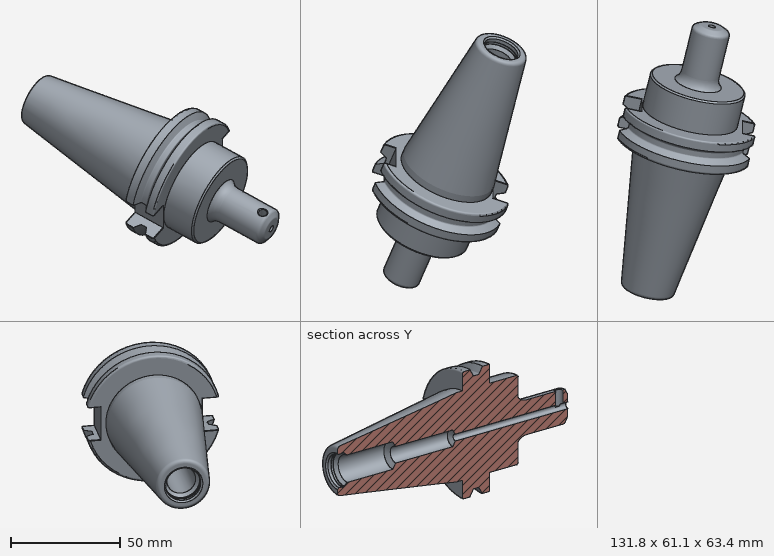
import cadquery as cq
import math

OVERALL_LENGTH = 131.8
TAPER_END_X = 68.0
FLANGE_START_X = 71.3
FLANGE_WIDTH = 16.0
BODY_END_X = 103.4

TOLERANCE = 0.01

TAPER_SMALL_DIAMETER = 24.5
BODY_DIAMETER = 44.5
TAPER_END_ROUND = 1.8
BODY_CHAMFER = 0.8

FLANGE_DIAMETER = 63.4
FLANGE_FRONT_EDGE = 1.0
FLANGE_REAR_EDGE = 0.8
GROOVE_CENTER_X = 79.3
GROOVE_FLOOR_WIDTH = 2.9
GROOVE_DEPTH = 3.5
GROOVE_HALF_ANGLE = 30.0
GROOVE_CORNER_RADIUS = 0.5
SLOT_WIDTH = 16.5
SLOT_EDGE_CHAMFER = 0.3
DEEP_SLOT_FLOOR_Y = -22.7
SHALLOW_SLOT_FLOOR_Y = 24.6

NOSE_DIAMETER = 17.5
NOSE_ROOT_RADIUS = 6.0
NOSE_ROOT_LENGTH = 4.6
NOSE_TIP_LENGTH = 1.8
NOSE_TIP_DIAMETER = 11.1
NOSE_TIP_ROUND = 1.6
CROSS_HOLE_DIAMETER = 4.0
CROSS_HOLE_X = 126.9
CROSS_HOLE_MOUTH_DIAMETER = 5.0

MOUTH_DIAMETER = 17.9
COUNTERBORE_DIAMETER = 16.3
UNDERCUT_DIAMETER = 16.9
UNDERCUT_START_X = 2.6
UNDERCUT_END_X = 3.8
THREAD_DIAMETER = 13.5
THREAD_START_X = 5.5
THREAD_DEPTH = 31.6
PILOT_DIAMETER = 8.0
PILOT_DEPTH = 65.9
COOLANT_DIAMETER = 3.2
DRILL_HALF_ANGLE = 59.0


def revolve_about_axis(profile):
    return profile.close().revolve(360, (0, 0, 0), (1, 0, 0))


def shank():
    """Taper, cylindrical body and nose pin as one revolved solid."""
    body_radius = BODY_DIAMETER / 2
    nose_radius = NOSE_DIAMETER / 2
    root_end_x = BODY_END_X + NOSE_ROOT_LENGTH
    root_center_r = nose_radius + NOSE_ROOT_RADIUS
    root_start_r = root_center_r - math.sqrt(NOSE_ROOT_RADIUS**2 - NOSE_ROOT_LENGTH**2)
    tip_start_x = OVERALL_LENGTH - NOSE_TIP_LENGTH
    profile = (
        cq.Workplane("XY")
        .lineTo(0, TAPER_SMALL_DIAMETER / 2)
        .lineTo(TAPER_END_X, body_radius)
        .lineTo(BODY_END_X - BODY_CHAMFER, body_radius)
        .lineTo(BODY_END_X, body_radius - BODY_CHAMFER)
        .lineTo(BODY_END_X, root_start_r)
        .radiusArc((root_end_x, nose_radius), -NOSE_ROOT_RADIUS)
        .lineTo(tip_start_x, nose_radius)
        .lineTo(OVERALL_LENGTH, NOSE_TIP_DIAMETER / 2)
        .lineTo(OVERALL_LENGTH, 0)
    )
    solid = revolve_about_axis(profile)
    solid = solid.faces("<X").edges().fillet(TAPER_END_ROUND)
    tip_edges = cq.selectors.BoxSelector(
        (tip_start_x - TOLERANCE, -BODY_DIAMETER, -BODY_DIAMETER),
        (OVERALL_LENGTH + TOLERANCE, BODY_DIAMETER, BODY_DIAMETER),
    )
    return solid.edges("%CIRCLE").edges(tip_edges).fillet(NOSE_TIP_ROUND)


def drive_slot(floor_y):
    """Block that cuts one drive slot from its floor outward past the flange rim."""
    outer_y = math.copysign(FLANGE_DIAMETER, floor_y)
    block = cq.Workplane("XY").box(FLANGE_WIDTH, abs(outer_y - floor_y), SLOT_WIDTH)
    middle_x = FLANGE_START_X + FLANGE_WIDTH / 2
    return block.translate((middle_x, (outer_y + floor_y) / 2, 0))


def chamfer_slot_edges(solid, floor_y):
    """Break the wall edges of one slot, except where the walls meet its floor."""
    near_y, far_y = sorted((floor_y, math.copysign(FLANGE_DIAMETER, floor_y)))
    half_slot = SLOT_WIDTH / 2
    walls = cq.selectors.BoxSelector(
        (0, near_y, -half_slot - TOLERANCE),
        (OVERALL_LENGTH, far_y, half_slot + TOLERANCE),
    )
    floor_edges = cq.selectors.BoxSelector(
        (0, floor_y - TOLERANCE, -SLOT_WIDTH),
        (OVERALL_LENGTH, floor_y + TOLERANCE, SLOT_WIDTH),
    )
    edges = solid.faces("|Z").faces(walls).edges()
    kept_sharp = edges.edges(floor_edges).vals()
    broken = [edge for edge in edges.vals() if edge not in kept_sharp]
    return solid.newObject(broken).chamfer(SLOT_EDGE_CHAMFER)


def gripper_groove():
    """V-shaped ring with a flat floor and rounded floor corners."""
    floor_r = FLANGE_DIAMETER / 2 - GROOVE_DEPTH
    half_floor = GROOVE_FLOOR_WIDTH / 2
    half_mouth = half_floor + GROOVE_DEPTH * math.tan(math.radians(GROOVE_HALF_ANGLE))
    profile = (
        cq.Workplane("XY")
        .moveTo(GROOVE_CENTER_X - half_floor, floor_r)
        .lineTo(GROOVE_CENTER_X - half_mouth, FLANGE_DIAMETER / 2)
        .lineTo(GROOVE_CENTER_X + half_mouth, FLANGE_DIAMETER / 2)
        .lineTo(GROOVE_CENTER_X + half_floor, floor_r)
    )
    ring = revolve_about_axis(profile)
    floor_corners = cq.selectors.RadiusNthSelector(0)
    return ring.edges(floor_corners).fillet(GROOVE_CORNER_RADIUS)


def flange():
    """Grooved gripper flange with a drive slot on each side."""
    disc = cq.Workplane("YZ").circle(FLANGE_DIAMETER / 2).extrude(FLANGE_WIDTH)
    solid = disc.translate((FLANGE_START_X, 0, 0))
    solid = solid.faces("<X").edges().fillet(FLANGE_FRONT_EDGE)
    solid = solid.faces(">X").edges().fillet(FLANGE_REAR_EDGE)
    for floor_y in (DEEP_SLOT_FLOOR_Y, SHALLOW_SLOT_FLOOR_Y):
        solid = solid.cut(drive_slot(floor_y))
        solid = chamfer_slot_edges(solid, floor_y)
    return solid.cut(gripper_groove())


def drill_tip_length(large_diameter, small_diameter):
    return (large_diameter - small_diameter) / 2 / math.tan(math.radians(DRILL_HALF_ANGLE))


def axial_bore():
    """Stepped bore from the taper end, running through to the nose tip as a coolant hole."""
    mouth_chamfer = (MOUTH_DIAMETER - COUNTERBORE_DIAMETER) / 2
    thread_tip = drill_tip_length(THREAD_DIAMETER, PILOT_DIAMETER)
    pilot_tip = drill_tip_length(PILOT_DIAMETER, COOLANT_DIAMETER)
    profile = (
        cq.Workplane("XY")
        .lineTo(0, MOUTH_DIAMETER / 2)
        .lineTo(mouth_chamfer, COUNTERBORE_DIAMETER / 2)
        .lineTo(UNDERCUT_START_X, COUNTERBORE_DIAMETER / 2)
        .lineTo(UNDERCUT_START_X, UNDERCUT_DIAMETER / 2)
        .lineTo(UNDERCUT_END_X, UNDERCUT_DIAMETER / 2)
        .lineTo(UNDERCUT_END_X, COUNTERBORE_DIAMETER / 2)
        .lineTo(THREAD_START_X, THREAD_DIAMETER / 2)
        .lineTo(THREAD_DEPTH, THREAD_DIAMETER / 2)
        .lineTo(THREAD_DEPTH + thread_tip, PILOT_DIAMETER / 2)
        .lineTo(PILOT_DEPTH, PILOT_DIAMETER / 2)
        .lineTo(PILOT_DEPTH + pilot_tip, COOLANT_DIAMETER / 2)
        .lineTo(OVERALL_LENGTH, COOLANT_DIAMETER / 2)
        .lineTo(OVERALL_LENGTH, 0)
    )
    return revolve_about_axis(profile)


def cross_hole():
    """Countersunk radial hole from the top of the nose pin down to the axis."""
    hole_radius = CROSS_HOLE_DIAMETER / 2
    mouth_radius = CROSS_HOLE_MOUTH_DIAMETER / 2
    top_z = NOSE_DIAMETER / 2
    profile = (
        cq.Workplane("XZ")
        .lineTo(hole_radius, 0)
        .lineTo(hole_radius, top_z - (mouth_radius - hole_radius))
        .lineTo(mouth_radius, top_z)
        .lineTo(0, top_z)
        .close()
    )
    return profile.revolve(360, (0, 0, 0), (0, 1, 0)).translate((CROSS_HOLE_X, 0, 0))


result = shank().union(flange()).cut(axial_bore()).cut(cross_hole())